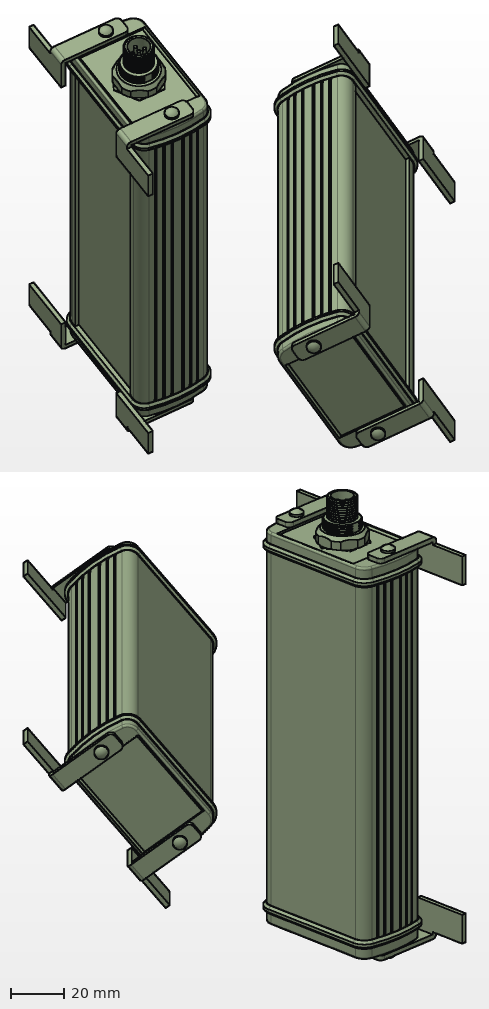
import cadquery as cq
import math


overall_width = 86.5
overall_depth = 39.3
overall_height = 183.0

case_length = 145.5
case_half_width = 28.2
case_half_depth = 16.0
side_radius = 56.7
corner_radius = 5.0
window_half_width = 20.0
window_depth = 1.6
rib_groove_width = 1.0
rib_groove_depth = 0.7
rib_groove_offsets = [2.4, 5.9, 9.1]

bead_height = 3.5
bead_overhang = 1.37
bead_chamfer = 1.1
cap_height = 8.0
cap_edge_radius = 1.0
panel_half_depth = 14.6
panel_slope = 1.0
panel_sink = 1.0
cap_base = case_length / 2
cap_face = cap_base + cap_height
panel_floor = cap_face - panel_sink

sheet = 2.0
bend_radius = 1.8
bracket_front = overall_depth - case_half_depth - bead_overhang
arm_inner = window_half_width
arm_width = 7.9
arm_reach = 8.0
arm_corner_radius = 2.0
wing_outer = overall_width / 2
wing_height = 11.9
wing_bottom = 67.9
arm_middle = arm_inner + arm_width / 2
bracket_top = cap_face + sheet
screw_radius = 1.5
head_radius = 2.7
head_rim_height = 1.0
head_height = 2.2

seat_across_flats = 19.2
seat_depth = 0.4
nut_across_flats = 19.0
nut_round_radius = 10.0
nut_bevel_top_radius = 8.5
nut_bevel_base = 83.3
nut_top = 84.9
nominal_pitch = 1.0
collar_radius = 7.5
collar_root_radius = 7.1
collar_flat = 7.0
collar_top = 89.0
plug_radius = 5.9
plug_root_radius = 5.3
connector_top = overall_height - bracket_top - head_height
socket_radius = 4.4
socket_depth = 7.3
pin_radius = 0.64
pin_count = 4
pin_circle_radius = 2.5
pin_height = 4.5


def case_outline(base, overhang=0.0):
    """Outline with bulged sides, grown outwards by overhang, on the plane z = base."""
    depth = case_half_depth + overhang
    width = case_half_width + overhang
    radius = side_radius + overhang
    corner = width - radius + math.sqrt(radius**2 - depth**2)
    return (
        cq.Workplane("XY", origin=(0, 0, base))
        .moveTo(-corner, -depth)
        .lineTo(corner, -depth)
        .threePointArc((width, 0), (corner, depth))
        .lineTo(-corner, depth)
        .threePointArc((-width, 0), (-corner, -depth))
        .close()
    )


def case_block(base, height, overhang=0.0):
    block = case_outline(base, overhang).extrude(height)
    return block.edges("|Z").fillet(corner_radius + overhang)


def make_case():
    case = case_block(-case_length / 2, case_length)
    window = cq.Workplane("XY").box(2 * window_half_width, 2 * window_depth, case_length)
    case = case.cut(window.translate((0, -case_half_depth, 0)))
    for offset in rib_groove_offsets:
        sag = side_radius - math.sqrt(side_radius**2 - offset**2)
        surface = case_half_width - sag
        for side in (-1, 1):
            for sign in (-1, 1):
                groove = cq.Workplane("XY").box(2 * rib_groove_depth, rib_groove_width, case_length)
                case = case.cut(groove.translate((side * surface, sign * offset, 0)))
    return case


def make_screw(x):
    """Shank through the bracket with a domed head on top."""
    shank = cq.Workplane("XY", origin=(x, 0, cap_face)).circle(screw_radius).extrude(sheet)
    dome_height = head_height - head_rim_height
    dome_sphere_radius = (head_radius**2 + dome_height**2) / (2 * dome_height)
    dome_drop = dome_sphere_radius - math.sqrt(dome_sphere_radius**2 - (head_radius / 2) ** 2)
    dome_middle = (head_radius / 2, head_height - dome_drop)
    head = (
        cq.Workplane("XZ", origin=(x, 0, bracket_top))
        .lineTo(head_radius, 0)
        .lineTo(head_radius, head_rim_height)
        .threePointArc(dome_middle, (0, head_height))
        .close()
        .revolve(360, (0, 0, 0), (0, 1, 0))
    )
    return shank.union(head)


def make_cap():
    """Upper end cap with its bead, sunken panel and two screws."""
    bead = case_block(cap_base, bead_height, bead_overhang).faces("<Z or >Z").chamfer(bead_chamfer)
    plate = case_block(cap_base, cap_height).faces(">Z").edges().fillet(cap_edge_radius)
    cap = plate.union(bead)
    panel = (
        cq.Workplane("YZ", origin=(-window_half_width, 0, 0))
        .moveTo(-panel_half_depth, cap_face)
        .lineTo(panel_slope - panel_half_depth, panel_floor)
        .lineTo(panel_half_depth - panel_slope, panel_floor)
        .lineTo(panel_half_depth, cap_face)
        .close()
        .extrude(2 * window_half_width)
    )
    cap = cap.cut(panel)
    for side in (-1, 1):
        cap = cap.union(make_screw(side * arm_middle))
    return cap


def hexagon(across_flats, base, height, turn=0):
    """Hexagonal prism on the Z axis; two of its corners lie on X before the turn."""
    diameter = across_flats / math.cos(math.pi / 6)
    prism = cq.Workplane("XY", origin=(0, 0, base)).polygon(6, diameter).extrude(height)
    return prism.rotate((0, 0, 0), (0, 0, 1), turn)


def threaded_rod(base, top, root_radius, crest_radius):
    """Rod with ring-shaped thread ridges, revolved about Z."""
    turns = round((top - base) / nominal_pitch)
    pitch = (top - base) / turns
    profile = cq.Workplane("XZ").moveTo(0, base).lineTo(root_radius, base)
    for turn in range(turns):
        ridge_start = base + turn * pitch
        profile = profile.lineTo(crest_radius, ridge_start + pitch / 2)
        profile = profile.lineTo(root_radius, ridge_start + pitch)
    profile = profile.lineTo(0, top).close()
    return profile.revolve(360, (0, 0, 0), (0, 1, 0))


def make_nut(base):
    nut = hexagon(nut_across_flats, base, nut_top - base)
    turned = (
        cq.Workplane("XZ")
        .moveTo(0, base)
        .lineTo(nut_round_radius, base)
        .lineTo(nut_round_radius, nut_bevel_base)
        .lineTo(nut_bevel_top_radius, nut_top)
        .lineTo(0, nut_top)
        .close()
        .revolve(360, (0, 0, 0), (0, 1, 0))
    )
    return nut.intersect(turned)


def make_connector(base):
    """Hexagon nut, flatted threaded collar, and threaded plug with a pin socket."""
    collar = threaded_rod(nut_top, collar_top, collar_root_radius, collar_radius)
    collar = collar.intersect(
        cq.Workplane("XY", origin=(0, 0, nut_top))
        .rect(2 * collar_flat, 2 * collar_radius)
        .extrude(collar_top - nut_top)
    )
    plug = threaded_rod(collar_top, connector_top, plug_root_radius, plug_radius)
    socket_floor = connector_top - socket_depth
    socket = cq.Workplane("XY", origin=(0, 0, socket_floor)).circle(socket_radius).extrude(socket_depth)
    pins = (
        cq.Workplane("XY", origin=(0, 0, socket_floor))
        .polarArray(pin_circle_radius, 0, 360, pin_count)
        .circle(pin_radius)
        .extrude(pin_height)
    )
    middle_pin = cq.Workplane("XY", origin=(0, 0, socket_floor)).circle(pin_radius).extrude(pin_height)
    return make_nut(base).union(collar).union(plug).cut(socket).union(pins).union(middle_pin)


def make_connector_cap():
    seat_floor = panel_floor - seat_depth
    seat = hexagon(seat_across_flats, seat_floor, seat_depth, turn=90)
    return make_cap().cut(seat).union(make_connector(seat_floor))


def make_bracket(side, end):
    """Angle bracket on one side (-1 left, 1 right) of one end (-1 lower, 1 upper)."""
    arm_length = bracket_front + arm_reach
    arm = cq.Workplane("XY").box(arm_width, arm_length, sheet, centered=False)
    arm = arm.translate((arm_inner, -bracket_front, cap_face))
    arm = arm.edges("|Z and >Y").fillet(arm_corner_radius)
    flange = cq.Workplane("XY").box(arm_width, sheet, bracket_top - wing_bottom, centered=False)
    flange = flange.translate((arm_inner, -bracket_front, wing_bottom))
    bent = arm.union(flange).edges("|X and <Y and >Z").fillet(bend_radius)
    wing = cq.Workplane("XY").box(wing_outer - arm_inner, sheet, wing_height, centered=False)
    bracket = bent.union(wing.translate((arm_inner, -bracket_front, wing_bottom)))
    hole = cq.Workplane("XY", origin=(arm_middle, 0, cap_face)).circle(screw_radius).extrude(sheet)
    bracket = bracket.cut(hole)
    if side < 0:
        bracket = bracket.mirror("YZ")
    if end < 0:
        bracket = bracket.mirror("XY")
    return bracket


case = make_case()
upper_cap = make_connector_cap()
lower_cap = make_cap().mirror("XY")
brackets = [make_bracket(side, end) for side in (-1, 1) for end in (-1, 1)]

result = cq.Compound.makeCompound(
    [body.solids().val() for body in (case, upper_cap, lower_cap, *brackets)]
)